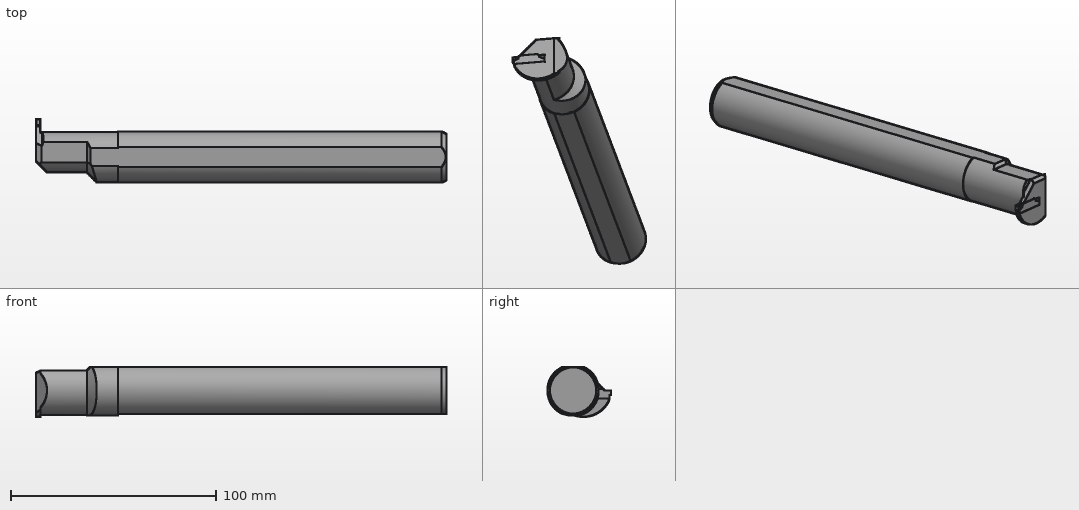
import cadquery as cq

length = 200.0
shank_radius = 12.5
flat_height = 11.5
shank_start = 40.0
end_chamfer_length = 2.5
end_chamfer_depth = 1.2

neck_radius = 12.3
head_length = 24.8
head_flat_height = 9.8
relief_center_y = 4.8

front_chamfer_y = -2.1
top_chamfer_length = 2.5
top_chamfer_depth = 1.2

blade_thickness = 2.2
blade_radius = 13.8
blade_center_y = 5.0
blade_center_z = 0.9
blade_end_y = 17.8
slope_sum = 15.5
slope_length = 3.0
slope_wall_run = 1.0
slope_wall_height = 2.0

insert_inner_y = 2.5
insert_tip_y = 18.5
insert_height = 3.8
insert_rise = 0.5
tip_height = 2.3
end_length = 3.7
rise_run = 0.8
side_relief = 0.2
side_relief_top = 0.8
side_relief_bottom = 2.2

oversize = 40.0


def box(x0, x1, y0, y1, z0, z1):
    """Box between two opposite corners."""
    return cq.Workplane("XY").box(x1 - x0, y1 - y0, z1 - z0, centered=False).translate((x0, y0, z0))


def rod(radius, x0, x1, y=0.0, z=0.0):
    """Cylinder along X."""
    return cq.Workplane("YZ", origin=(x0, y, z)).circle(radius).extrude(x1 - x0)


def prism_x(points, x0, x1):
    """Polygon of (y, z) points extruded along X."""
    return cq.Workplane("YZ", origin=(x0, 0, 0)).polyline(points).close().extrude(x1 - x0)


def make_shank():
    """Round bar with top and bottom flats and a chamfered rear end."""
    bar = rod(shank_radius, shank_start, length)
    bar = bar.faces(">X").chamfer(end_chamfer_length, end_chamfer_depth)
    return bar.intersect(box(shank_start, length, -oversize, oversize, -flat_height, flat_height))


def make_neck_and_head():
    """Neck with a top flat, narrowed to the head through a 45 degree cone."""
    blank = rod(neck_radius, 0, shank_start)
    blank = blank.intersect(box(0, shank_start, -oversize, oversize, -oversize, flat_height))
    cone_run = shank_start - head_length
    envelope = (
        cq.Workplane("XY")
        .polyline([
            (0, 0),
            (0, neck_radius),
            (head_length, neck_radius),
            (shank_start, neck_radius + cone_run),
            (shank_start, 0),
        ])
        .close()
        .revolve(360, (0, 0, 0), (1, 0, 0))
        .translate((0, relief_center_y, 0))
    )
    step_rise = flat_height - head_flat_height
    top_flat = (
        cq.Workplane("XZ", origin=(0, oversize, 0))
        .polyline([
            (0, head_flat_height),
            (head_length, head_flat_height),
            (head_length + step_rise, flat_height),
            (0, flat_height),
        ])
        .close()
        .extrude(2 * oversize)
    )
    return blank.intersect(envelope).cut(top_flat)


def make_blade():
    """Thin curved support under the insert, reaching out to +Y."""
    disc = rod(blade_radius, 0, blade_thickness, blade_center_y, blade_center_z)
    return disc.intersect(box(0, blade_thickness, -oversize, blade_end_y, -oversize, head_flat_height))


def front_chamfer_cut():
    """45 degree bevel on the -Y side of the front face."""
    return (
        cq.Workplane("XY", origin=(0, 0, -oversize))
        .polyline([(0, front_chamfer_y), (0, -oversize), (oversize + front_chamfer_y, -oversize)])
        .close()
        .extrude(2 * oversize)
    )


def top_chamfer_cut():
    """Shallow bevel where the head flat meets the front face."""
    return (
        cq.Workplane("XZ", origin=(0, oversize, 0))
        .polyline([
            (0, head_flat_height - top_chamfer_depth),
            (top_chamfer_length, head_flat_height),
            (0, head_flat_height),
        ])
        .close()
        .extrude(2 * oversize)
    )


def clearance_slope_cut():
    """45 degree face above the blade, ending in a leaning wall."""
    plane = cq.Plane(origin=(0, slope_sum / 2, slope_sum / 2), xDir=(1, 0, 0), normal=(0, -1, 1))
    wall_end = slope_length + slope_wall_run
    return (
        cq.Workplane(plane)
        .polyline([
            (0, 0),
            (slope_length, 0),
            (wall_end, slope_wall_height),
            (wall_end, oversize),
            (0, oversize),
        ])
        .close()
        .extrude(oversize / 2, both=True)
    )


def pocket_cut():
    """Seat for the insert, open at the front and towards +Y."""
    seat = box(0, blade_thickness, insert_inner_y, oversize, -insert_height, 0)
    raised_start = insert_inner_y + end_length - rise_run
    seat_top = prism_x(
        [
            (raised_start, 0),
            (raised_start + rise_run, insert_rise),
            (oversize, insert_rise),
            (oversize, 0),
        ],
        0,
        blade_thickness,
    )
    return seat.union(seat_top)


def make_holder():
    holder = make_shank().union(make_neck_and_head()).union(make_blade())
    for cutter in (front_chamfer_cut(), top_chamfer_cut(), clearance_slope_cut(), pocket_cut()):
        holder = holder.cut(cutter)
    return holder


def make_insert():
    """Double-ended insert with a raised middle and relieved side faces at both ends."""
    raised_inner = insert_inner_y + end_length
    raised_outer = insert_tip_y - end_length
    undercut = insert_tip_y - blade_end_y
    insert = prism_x(
        [
            (insert_inner_y, -insert_height),
            (insert_inner_y, 0),
            (raised_inner - rise_run, 0),
            (raised_inner, insert_rise),
            (raised_outer, insert_rise),
            (raised_outer + rise_run, 0),
            (insert_tip_y, 0),
            (insert_tip_y, -tip_height),
            (insert_tip_y - undercut, -tip_height),
            (insert_tip_y - undercut, -insert_height),
        ],
        0,
        blade_thickness,
    )
    for end_y, inward in ((insert_inner_y, 1), (insert_tip_y, -1)):
        relief_inner_y = end_y + inward * (end_length - rise_run)
        relief = prism_x(
            [
                (end_y, 0),
                (relief_inner_y, 0),
                (relief_inner_y, -side_relief_top),
                (end_y, -side_relief_bottom),
            ],
            0,
            side_relief,
        )
        insert = insert.cut(relief)
    return insert


holder = make_holder()
insert = make_insert()
result = cq.Compound.makeCompound([holder.solids().val(), insert.solids().val()])